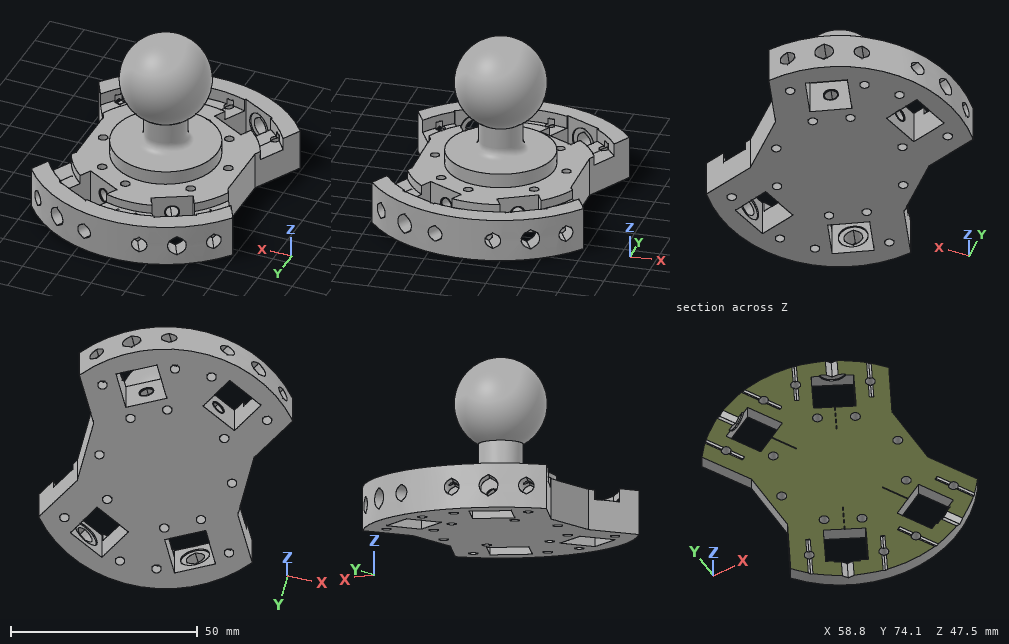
import cadquery as cq
import math

rim_radius = 37.07
rim_height = 12.0
rim_corner_x = 58.84 / 2
waist_half_width = 22.1
waist_half_length = 9.1

deck_height = 11.0
groove_floor = 8.4
groove_inner_radius = 25.3
groove_outer_radius = 31.75

arm_tilt = 28.2
arm_angles = [90 - arm_tilt, 90 + arm_tilt, 270 - arm_tilt, 270 + arm_tilt]

window_inner = 21.1
window_outer = 31.7
window_width = 11.3

hole_height = rim_height / 2
peak_slope = math.radians(30)
side_hole_offset = 10.0
side_hole_diameter = 4.0
side_hole_inner_end = 24.0
center_hole_diameter = 5.0
wall_hole_diameter = 3.5
wall_hole_depth = 8.0
wall_hole_mouth_diameter = 4.0
wall_hole_mouth_depth = 0.3

counterbore_diameter = 8.0
counterbore_depth = 0.4

screw_hole_diameter = 2.5
arm_screw_distance = 29.3
arm_screw_top = 10.0
deck_screw_radius = 18.25
deck_screw_angles = [0, 45, 77.3, 135, 180, 225, 257.3, 315]

disc_radius = 15.0
disc_top = 15.0
neck_radius = 6.0
neck_fillet = 3.0
ball_radius = 12.5
ball_center_height = 35.0


def upright_cylinder(radius, bottom, top):
    """Cylinder on the Z axis between two heights."""
    return cq.Workplane("XY").workplane(offset=bottom).circle(radius).extrude(top - bottom)


def arm_section(distance, offset=0):
    """Upright sketch plane facing +X, set at a distance along the arm and centered on the holes."""
    return cq.Workplane("YZ", origin=(distance, offset, hole_height))


def peaked_hole(diameter, start, end, offset=0):
    """Horizontal hole along +X, round at the sides and peaked above and below by tangent flats."""
    radius = diameter / 2
    tip = radius / math.cos(peak_slope)
    tangent_y = radius * math.sin(peak_slope)
    tangent_z = radius * math.cos(peak_slope)
    return (
        arm_section(start, offset)
        .moveTo(tangent_y, -tangent_z)
        .threePointArc((radius, 0), (tangent_y, tangent_z))
        .lineTo(0, tip)
        .lineTo(-tangent_y, tangent_z)
        .threePointArc((-radius, 0), (-tangent_y, -tangent_z))
        .lineTo(0, -tip)
        .close()
        .extrude(end - start)
    )


def make_base():
    """Rim outline extruded to full height, then lowered to the deck and the groove."""
    rim_corner_y = math.sqrt(rim_radius**2 - rim_corner_x**2)
    outline = (
        cq.Workplane("XY")
        .moveTo(waist_half_width, -waist_half_length)
        .lineTo(waist_half_width, waist_half_length)
        .lineTo(rim_corner_x, rim_corner_y)
        .threePointArc((0, rim_radius), (-rim_corner_x, rim_corner_y))
        .lineTo(-waist_half_width, waist_half_length)
        .lineTo(-waist_half_width, -waist_half_length)
        .lineTo(-rim_corner_x, -rim_corner_y)
        .threePointArc((0, -rim_radius), (rim_corner_x, -rim_corner_y))
        .close()
    )
    groove = upright_cylinder(groove_outer_radius, groove_floor, rim_height)
    deck = upright_cylinder(groove_inner_radius, groove_floor, deck_height)
    return outline.extrude(rim_height).cut(groove.cut(deck))


def make_window():
    """Window of one arm with its counterbore, laid out along +X."""
    window_length = window_outer - window_inner
    window = (
        cq.Workplane("XY")
        .center(window_inner + window_length / 2, 0)
        .rect(window_length, window_width)
        .extrude(rim_height)
    )
    counterbore = arm_section(window_outer).circle(counterbore_diameter / 2).extrude(counterbore_depth)
    return window.union(counterbore)


def make_center_holes():
    """Clearance hole through the rim and blind stepped hole in the inner wall of the window."""
    rim_hole = peaked_hole(center_hole_diameter, window_outer, rim_radius)
    wall_hole = peaked_hole(wall_hole_diameter, window_inner - wall_hole_depth, window_inner)
    mouth = (
        arm_section(window_inner)
        .circle(wall_hole_mouth_diameter / 2)
        .extrude(-wall_hole_mouth_depth)
    )
    return rim_hole.union(wall_hole).union(mouth)


def make_arm_cutter():
    """Window and all holes of one arm, laid out along +X."""
    cutter = make_window().union(make_center_holes())
    for offset in (-side_hole_offset, side_hole_offset):
        side_hole = peaked_hole(side_hole_diameter, side_hole_inner_end, rim_radius, offset)
        screw_hole = upright_cylinder(screw_hole_diameter / 2, 0, arm_screw_top)
        cutter = cutter.union(side_hole).union(screw_hole.translate((arm_screw_distance, offset, 0)))
    return cutter


def make_deck_holes():
    """Ring of vertical screw holes around the ball mount."""
    hole = upright_cylinder(screw_hole_diameter / 2, 0, deck_height)
    holes = cq.Workplane("XY")
    for angle in deck_screw_angles:
        holes = holes.add(hole.translate((deck_screw_radius, 0, 0)).rotate((0, 0, 0), (0, 0, 1), angle))
    return holes.combine()


def make_ball_mount():
    """Disc, flared neck and ball turned as one profile about Z."""
    fillet_dip = neck_fillet * (1 - math.sqrt(0.5))
    ball_join = ball_center_height - math.sqrt(ball_radius**2 - neck_radius**2)
    profile = (
        cq.Workplane("XZ")
        .moveTo(0, deck_height)
        .lineTo(disc_radius, deck_height)
        .lineTo(disc_radius, disc_top)
        .lineTo(neck_radius + neck_fillet, disc_top)
        .threePointArc(
            (neck_radius + fillet_dip, disc_top + fillet_dip),
            (neck_radius, disc_top + neck_fillet),
        )
        .lineTo(neck_radius, ball_join)
        .threePointArc((ball_radius, ball_center_height), (0, ball_center_height + ball_radius))
        .close()
    )
    return profile.revolve(360, (0, 0, 0), (0, 1, 0))


base = make_base()
arm_cutter = make_arm_cutter()
for arm_angle in arm_angles:
    base = base.cut(arm_cutter.rotate((0, 0, 0), (0, 0, 1), arm_angle))
base = base.cut(make_deck_holes())

result = base.union(make_ball_mount())